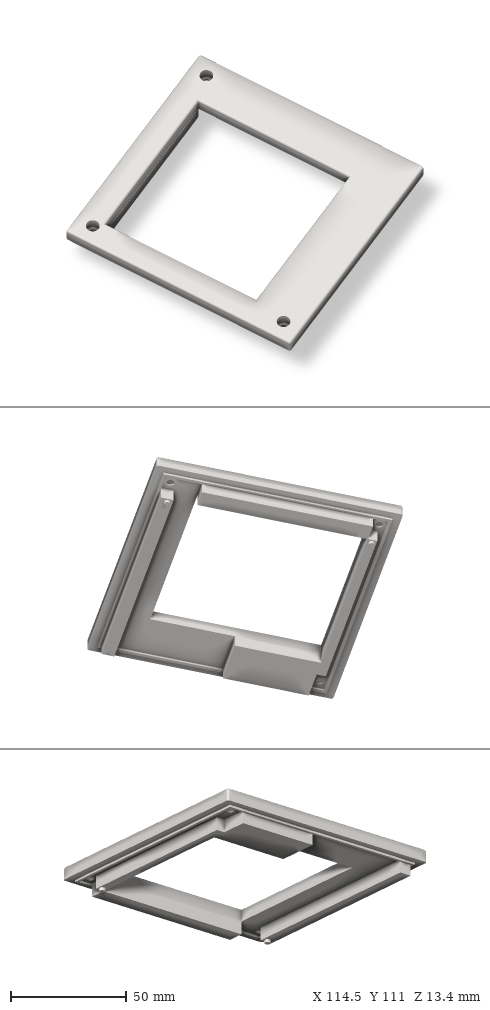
import cadquery as cq
plate_length = 114.5
plate_width = 111.0
plate_thickness = 6.0
edge_radius = 1.0

window_size = 77.0
window_left = -44.7
window_front = -43.2
window_right = window_left + window_size
window_back = window_front + window_size

rim_length = 107.6
rim_width = 103.2
rim_wall = 1.4
rim_height = 1.0
rim_inner_x = rim_length / 2 - rim_wall
rim_inner_y = rim_width / 2 - rim_wall

bar_depth = rim_height + 5.0
bar_overhang = 0.1
front_bar_width = 4.1
front_bar_right = 39.4
right_bar_back = -4.5
back_bar_width = 5.7

pin_diameter = 2.9
pin_height = 1.4
pin_x = -42.6
pin_front_y = -45.3
pin_back_y = 46.8

screw_x = 48.7
screw_y = 47.1
screw_diameter = 3.4
head_diameter = 6.0
head_depth = 5.0


def box_between(x_min, x_max, y_min, y_max, z_min, z_max):
    """Axis-aligned box given by its limits."""
    size = (x_max - x_min, y_max - y_min, z_max - z_min)
    return cq.Workplane("XY").box(*size, centered=False).translate((x_min, y_min, z_min))


def hanging_bar(x_min, x_max, y_min, y_max):
    """Support bar reaching down from the plate underside."""
    return box_between(x_min, x_max, y_min, y_max, -bar_depth, 0)


def make_plate():
    """Plate with rounded outer edges and a window with a rounded top edge."""
    plate = (
        cq.Workplane("XY")
        .box(plate_length, plate_width, plate_thickness, centered=(True, True, False))
        .edges("|Z or >Z")
        .fillet(edge_radius)
    )
    window = box_between(window_left, window_right, window_front, window_back, 0, plate_thickness)
    framed_plate = plate.cut(window)
    window_wire = framed_plate.faces(">Z").wires(cq.selectors.AreaNthSelector(0))
    return window_wire.edges().fillet(edge_radius)


def make_rim():
    """Rectangular ring under the plate."""
    return (
        cq.Workplane("XY")
        .rect(rim_length, rim_width)
        .rect(2 * rim_inner_x, 2 * rim_inner_y)
        .extrude(-rim_height)
    )


def make_bars():
    """Left, front and right bars bordering the window, and one along the back."""
    inner_left = window_left + bar_overhang
    inner_front = window_front + bar_overhang
    inner_right = window_right - bar_overhang
    front_bar_front = window_front - front_bar_width
    back_bar_front = rim_inner_y - back_bar_width
    return [
        hanging_bar(-rim_inner_x, inner_left, window_front, window_back),
        hanging_bar(window_left, front_bar_right, front_bar_front, inner_front),
        hanging_bar(inner_right, rim_inner_x, window_front, right_bar_back),
        hanging_bar(window_left, rim_inner_x, back_bar_front, rim_inner_y),
    ]


def make_pins():
    """Two round pins reaching below the front and back bars."""
    return (
        cq.Workplane("XY")
        .pushPoints([(pin_x, pin_front_y), (pin_x, pin_back_y)])
        .circle(pin_diameter / 2)
        .extrude(-bar_depth - pin_height)
    )


body = make_plate().union(make_rim())
for bar in make_bars():
    body = body.union(bar)
body = body.union(make_pins())

result = (
    body.faces(">Z")
    .workplane(origin=(0, 0, plate_thickness))
    .pushPoints([(-screw_x, -screw_y), (-screw_x, screw_y), (screw_x, -screw_y)])
    .cboreHole(screw_diameter, head_diameter, head_depth)
)